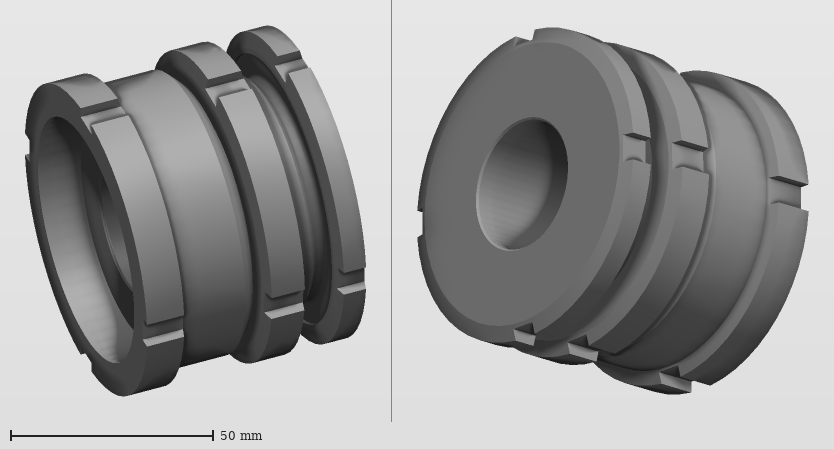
import cadquery as cq
import math


RING_R = 40.0
FACE_R = 36.0
CHAMFER_ANGLE = 15.0
RING_CHAMFER = (RING_R - FACE_R) * math.tan(math.radians(CHAMFER_ANGLE))
SLOT_COUNT = 4
SLOT_WIDTH = 7.0
SLOT_FLOOR_R = 37.0
SLOT_OVERRUN = 1.0
NUT_SLOT_TURN = 2.7

TOTAL_LENGTH = 59.65
REAR = TOTAL_LENGTH / 2
FRONT = -TOTAL_LENGTH / 2

SLEEVE_LENGTH = 49.25
FLANGE_LENGTH = 8.07
RECESS_R = 34.7
RECESS_DEPTH = 1.0
STEM_R = 30.0
PILOT_R = 28.75
PILOT_LENGTH = 2.5
NECK_R = 28.5
NECK_LENGTH = 1.85
NECK_FILLET = 1.0
BORE_R = 16.5
BORE_CHAMFER = 0.5

NUT_LENGTH = 11.0
NUT_FROM_REAR = 16.4

HOUSING_LENGTH = 31.0
HOUSING_RING_LENGTH = 11.0
BARREL_R = 36.5
BARREL_CHAMFER = 3.2
COUNTERBORE_R = 31.5
COUNTERBORE_DEPTH = 16.0


def revolve(profile):
    """Turn a closed (radius, y) profile once around the Y axis."""
    return profile.close().revolve(360, (0, 0, 0), (0, 1, 0))


def cut_slots(body, y_start, y_end, turn=0.0):
    """Cut the spanner slots into a ring lying between y_start and y_end."""
    depth = RING_R - SLOT_FLOOR_R + SLOT_OVERRUN
    for i in range(SLOT_COUNT):
        slot = (
            cq.Workplane("XY")
            .box(SLOT_WIDTH, y_end - y_start, depth, centered=(True, False, False))
            .translate((0, y_start, SLOT_FLOOR_R))
            .rotate((0, 0, 0), (0, 1, 0), turn + i * 360 / SLOT_COUNT)
        )
        body = body.cut(slot)
    return body


def make_sleeve():
    front = REAR - SLEEVE_LENGTH
    pilot_rear = front + PILOT_LENGTH
    flange_front = REAR - FLANGE_LENGTH
    recess_floor = flange_front + RECESS_DEPTH
    neck_front = flange_front - NECK_LENGTH
    stem_rear = neck_front - (STEM_R - NECK_R)

    half_turn = math.radians(45 / 2)
    tangent = NECK_FILLET * math.tan(half_turn)
    tangent_45 = tangent * math.sqrt(0.5)
    fillet_r = NECK_R + NECK_FILLET
    fillet_y = neck_front + tangent
    fillet_mid = (
        fillet_r - NECK_FILLET * math.cos(half_turn),
        fillet_y - NECK_FILLET * math.sin(half_turn),
    )

    corner_gap = NECK_FILLET * (1 - math.sqrt(0.5))
    floor_mid = (NECK_R + corner_gap, recess_floor - corner_gap)

    profile = (
        cq.Workplane("XY")
        .moveTo(BORE_R, front + BORE_CHAMFER)
        .lineTo(BORE_R + BORE_CHAMFER, front)
        .lineTo(PILOT_R, front)
        .lineTo(PILOT_R, pilot_rear)
        .lineTo(STEM_R, pilot_rear + STEM_R - PILOT_R)
        .lineTo(STEM_R, stem_rear)
        .lineTo(NECK_R + tangent_45, neck_front - tangent_45)
        .threePointArc(fillet_mid, (NECK_R, fillet_y))
        .lineTo(NECK_R, recess_floor - NECK_FILLET)
        .threePointArc(floor_mid, (fillet_r, recess_floor))
        .lineTo(RECESS_R, recess_floor)
        .lineTo(RECESS_R, flange_front)
        .lineTo(FACE_R, flange_front)
        .lineTo(RING_R, flange_front + RING_CHAMFER)
        .lineTo(RING_R, REAR - RING_CHAMFER)
        .lineTo(FACE_R, REAR)
        .lineTo(BORE_R + BORE_CHAMFER, REAR)
        .lineTo(BORE_R, REAR - BORE_CHAMFER)
    )
    return cut_slots(revolve(profile), flange_front, REAR)


def make_lock_nut():
    rear = REAR - NUT_FROM_REAR
    front = rear - NUT_LENGTH
    profile = (
        cq.Workplane("XY")
        .moveTo(STEM_R, front)
        .lineTo(FACE_R, front)
        .lineTo(RING_R, front + RING_CHAMFER)
        .lineTo(RING_R, rear - RING_CHAMFER)
        .lineTo(FACE_R, rear)
        .lineTo(STEM_R, rear)
    )
    return cut_slots(revolve(profile), front, rear, NUT_SLOT_TURN)


def make_housing():
    rear = FRONT + HOUSING_LENGTH
    ring_rear = FRONT + HOUSING_RING_LENGTH
    counterbore_floor = FRONT + COUNTERBORE_DEPTH
    profile = (
        cq.Workplane("XY")
        .moveTo(COUNTERBORE_R, FRONT)
        .lineTo(RING_R, FRONT)
        .lineTo(RING_R, ring_rear - RING_CHAMFER)
        .lineTo(BARREL_R, ring_rear)
        .lineTo(BARREL_R, rear - BARREL_CHAMFER)
        .lineTo(BARREL_R - BARREL_CHAMFER, rear)
        .lineTo(STEM_R, rear)
        .lineTo(STEM_R, counterbore_floor)
        .lineTo(COUNTERBORE_R, counterbore_floor)
    )
    return cut_slots(revolve(profile), FRONT, ring_rear)


sleeve = make_sleeve()
lock_nut = make_lock_nut()
housing = make_housing()

result = cq.Compound.makeCompound([sleeve.val(), lock_nut.val(), housing.val()])